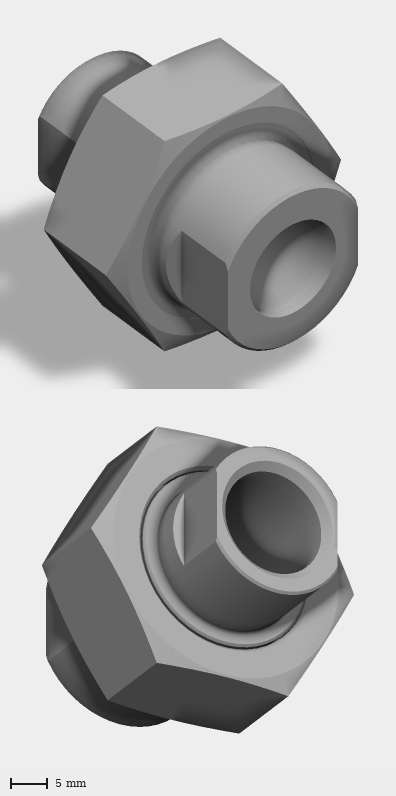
import cadquery as cq
import math


union_length = 43.5
bore_radius = 15.2 / 2
joint_x = 20.0

nut_start = 14.0
nut_end = 29.45
nut_across_flats = 36.0
nut_corner_radius = nut_across_flats / math.sqrt(3)
nut_face_radius = 17.75
nut_corner_chamfer = 1.0
nut_lip_radius = 26.5 / 2
nut_lip_chamfer = 0.5
nut_thread_radius = 30.35 / 2
nut_lip_length = 3.05
nut_lip_end = nut_start + nut_lip_length

tail_radius = 22.0 / 2
tail_chamfer = 0.35
tail_mouth_chamfer = 1.15
tail_fillet = 0.4
collar_start = nut_start
collar_radius = 26.0 / 2
collar_chamfer = 0.325
flange_radius = 30.0 / 2
tail_flat_offset = 9.53
tail_flat_end = 9.1
tail_flat_slope = 15.0

body_radius = 26.0 / 2
body_chamfer = 0.52
body_fillet = 1.0
body_shoulder_x = 29.3
body_flat_offset = 11.5
body_flat_start = 33.5
body_flat_slope = 45.0

cut_margin = 0.45
arc_middle = math.sqrt(0.5)


def revolve_about_x(profile):
    """Spin a closed (x, radius) profile around the X axis."""
    return profile.close().revolve(360, (0, 0, 0), (1, 0, 0))


def wrench_flat_cutter(end_x, root_x, offset, slope, side, outer_radius):
    """Material removed for one wrench flat, from the pipe end to its sloping run-out."""
    outside = outer_radius + cut_margin
    direction = math.copysign(1.0, root_x - end_x)
    run_out = direction * (outside - offset) * math.tan(math.radians(slope))
    profile = [
        (end_x, side * offset),
        (root_x, side * offset),
        (root_x + run_out, side * outside),
        (end_x, side * outside),
    ]
    return cq.Workplane("XY").polyline(profile).close().extrude(outer_radius, both=True)


def make_tail():
    """Plain pipe end with a collar and flange captured behind the nut lip."""
    profile = (
        cq.Workplane("XY")
        .moveTo(0, bore_radius + tail_mouth_chamfer)
        .lineTo(0, tail_radius - tail_chamfer)
        .lineTo(tail_chamfer, tail_radius)
        .lineTo(collar_start - tail_fillet, tail_radius)
        .threePointArc(
            (
                collar_start - tail_fillet * (1 - arc_middle),
                tail_radius + tail_fillet * (1 - arc_middle),
            ),
            (collar_start, tail_radius + tail_fillet),
        )
        .lineTo(collar_start, collar_radius - collar_chamfer)
        .lineTo(collar_start + collar_chamfer, collar_radius)
        .lineTo(nut_lip_end, collar_radius)
        .lineTo(nut_lip_end, flange_radius)
        .lineTo(joint_x, flange_radius)
        .lineTo(joint_x, bore_radius)
        .lineTo(tail_mouth_chamfer, bore_radius)
    )
    tail = revolve_about_x(profile)
    for side in (-1, 1):
        tail = tail.cut(wrench_flat_cutter(
            0, tail_flat_end, tail_flat_offset, tail_flat_slope, side, tail_radius))
    return tail


def make_body():
    """Pipe end whose larger threaded part fills the nut."""
    profile = (
        cq.Workplane("XY")
        .moveTo(joint_x, bore_radius)
        .lineTo(joint_x, nut_thread_radius)
        .lineTo(body_shoulder_x, nut_thread_radius)
        .lineTo(body_shoulder_x, body_radius + body_fillet)
        .threePointArc(
            (
                body_shoulder_x + body_fillet * (1 - arc_middle),
                body_radius + body_fillet * (1 - arc_middle),
            ),
            (body_shoulder_x + body_fillet, body_radius),
        )
        .lineTo(union_length - body_chamfer, body_radius)
        .lineTo(union_length, body_radius - body_chamfer)
        .lineTo(union_length, bore_radius)
    )
    body = revolve_about_x(profile)
    for side in (-1, 1):
        body = body.cut(wrench_flat_cutter(
            union_length, body_flat_start, body_flat_offset, body_flat_slope, side, body_radius))
    return body


def make_nut():
    """Hexagon nut with corners on Y, conical corner chamfers and an inward lip."""
    hexagon = (
        cq.Workplane("YZ", origin=(nut_start, 0, 0))
        .polygon(6, 2 * nut_corner_radius)
        .extrude(nut_end - nut_start)
    )
    envelope = revolve_about_x(
        cq.Workplane("XY")
        .moveTo(nut_start, nut_lip_radius + nut_lip_chamfer)
        .lineTo(nut_start, nut_face_radius)
        .lineTo(nut_start + nut_corner_chamfer, nut_corner_radius)
        .lineTo(nut_end - nut_corner_chamfer, nut_corner_radius)
        .lineTo(nut_end, nut_face_radius)
        .lineTo(nut_end, nut_thread_radius)
        .lineTo(nut_lip_end, nut_thread_radius)
        .lineTo(nut_lip_end, nut_lip_radius)
        .lineTo(nut_start + nut_lip_chamfer, nut_lip_radius)
    )
    return hexagon.intersect(envelope)


tail = make_tail()
body = make_body()
nut = make_nut()

result = cq.Compound.makeCompound([part.solids().val() for part in (tail, body, nut)])